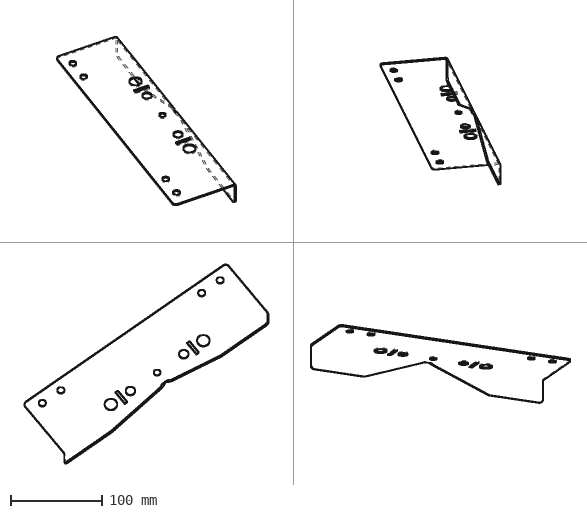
import cadquery as cq

length = 279.5
depth = 76.3
height = 28.0
thickness = 2.0
bend_radius = 3.4
inner_bend_radius = bend_radius - thickness
corner_radius = 4.2

relief_half_width = 75.2

back_row_y = -17.5
large_hole_x = 63.5
large_hole_diameter = 13.7
medium_hole_x = 36.5
medium_hole_diameter = 10.3
center_hole_diameter = 7.3
slot_x = 49.2
slot_width = 3.4
slot_length = 17.0

front_row_y = -depth + 12.0
mount_outer_x = 122.0
mount_inner_x = 96.7
mount_hole_diameter = 7.8


def bent_sheet():
    """L-shaped sheet, bent along X, with rounded free corners."""
    plate = cq.Workplane("XY").box(length, depth, thickness, centered=(True, False, False))
    plate = plate.translate((0, -depth, -thickness))
    flange = cq.Workplane("XY").box(length, thickness, height, centered=(True, False, False))
    flange = flange.translate((0, -thickness, -height))
    inner_edge = cq.selectors.NearestToPointSelector((0, -thickness, -thickness))
    sheet = plate.union(flange)
    sheet = sheet.edges(inner_edge).fillet(inner_bend_radius)
    sheet = sheet.edges(">Y and >Z").fillet(bend_radius)
    sheet = sheet.edges("|Z and <Y").fillet(corner_radius)
    return sheet.edges("|Y and <Z").fillet(corner_radius)


def flange_relief():
    """Triangular prism that removes the middle of the flange and bend."""
    return (
        cq.Workplane("XZ")
        .moveTo(-relief_half_width, -height)
        .lineTo(0, 0)
        .lineTo(relief_half_width, -height)
        .close()
        .extrude(bend_radius)
    )


def mirrored(x, y):
    """The same place on both sides of the middle."""
    return [(-x, y), (x, y)]


def drill(body, points, diameter):
    """Through holes in the top plate."""
    cutter = cq.Workplane("XY").pushPoints(points).circle(diameter / 2).extrude(-thickness)
    return body.cut(cutter)


result = bent_sheet().cut(flange_relief())

result = drill(result, mirrored(large_hole_x, back_row_y), large_hole_diameter)
result = drill(result, mirrored(medium_hole_x, back_row_y), medium_hole_diameter)
result = drill(result, [(0, back_row_y)], center_hole_diameter)
for mount_x in (mount_outer_x, mount_inner_x):
    result = drill(result, mirrored(mount_x, front_row_y), mount_hole_diameter)

slots = (
    cq.Workplane("XY")
    .pushPoints(mirrored(slot_x, back_row_y))
    .rect(slot_width, slot_length)
    .extrude(-thickness)
)
result = result.cut(slots)